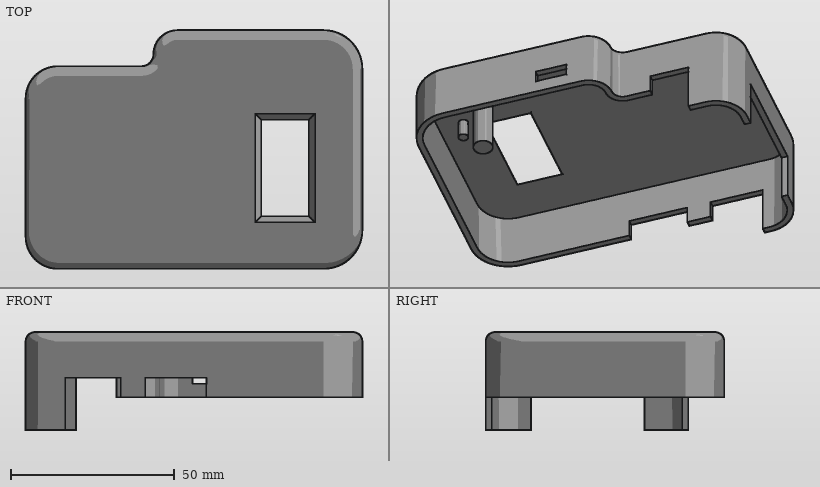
import cadquery as cq
import math

LENGTH = 103.0
WIDTH = 73.0
HEIGHT = 30.0
WALL = 2.0
RIM_FILLET = 3.0

LEFT_RADIUS = 10.0
RIGHT_RADIUS = 11.9
STEP_X = 39.0
STEP_OUTER_RADIUS = 7.5
STEP_INNER_RADIUS = 3.5
SHOULDER_Y = WIDTH - STEP_OUTER_RADIUS - STEP_INNER_RADIUS

SKIRT_Z = HEIGHT - 20.0
NOTCH_Z = HEIGHT - 14.0
CEILING_Z = HEIGHT - WALL

FRONT_LEG_X = 12.2
FRONT_NOTCH_END_X = 29.0
FRONT_PORT = (36.6, 55.3)
BACK_LEG_X = 15.5
BACK_NOTCH_END_X = 27.8
LEFT_NOTCH = (13.9, 48.5)

SLOT_X = 51.1
SLOT_LENGTH = 10.0
SLOT_BOTTOM_Z = HEIGHT - 15.8
SLOT_HEIGHT = 4.0

WINDOW_X = (72.1, 86.5)
WINDOW_Y = (16.2, 45.5)

POST_DIAMETER = 6.0
POST_CENTER = (84.5, 54.4)
POST_LENGTH = CEILING_Z - SKIRT_Z
PIN_DIAMETER = 3.0
PIN_CENTER = (93.0, 48.1)
PIN_LENGTH = 6.0


def box(x_range, y_range, z_range):
    """Box spanning the given (start, end) range along each axis."""
    size = [end - start for start, end in (x_range, y_range, z_range)]
    corner = (x_range[0], y_range[0], z_range[0])
    return cq.Workplane("XY").box(*size, centered=False).translate(corner)


def prism(inset, bottom, top):
    """Prism on the case outline, moved inward by inset."""
    diagonal = math.sqrt(0.5)
    left_r = LEFT_RADIUS - inset
    right_r = RIGHT_RADIUS - inset
    outer_r = STEP_OUTER_RADIUS - inset
    inner_r = STEP_INNER_RADIUS + inset
    left, right = inset, LENGTH - inset
    front, back = inset, WIDTH - inset
    shoulder = SHOULDER_Y - inset
    step_x = STEP_X + inset

    def rounded(sketch, center, radius, middle_signs, end_signs):
        middle = [c + s * radius * diagonal for c, s in zip(center, middle_signs)]
        end = [c + s * radius for c, s in zip(center, end_signs)]
        return sketch.threePointArc(tuple(middle), tuple(end))

    outline = cq.Workplane("XY").workplane(offset=bottom).moveTo(left + left_r, front)
    outline = outline.lineTo(right - right_r, front)
    outline = rounded(outline, (right - right_r, front + right_r), right_r, (1, -1), (1, 0))
    outline = outline.lineTo(right, back - right_r)
    outline = rounded(outline, (right - right_r, back - right_r), right_r, (1, 1), (0, 1))
    outline = outline.lineTo(step_x + outer_r, back)
    outline = rounded(outline, (step_x + outer_r, back - outer_r), outer_r, (-1, 1), (-1, 0))
    outline = rounded(outline, (step_x - inner_r, shoulder + inner_r), inner_r, (1, -1), (0, -1))
    outline = outline.lineTo(left + left_r, shoulder)
    outline = rounded(outline, (left + left_r, shoulder - left_r), left_r, (-1, 1), (-1, 0))
    outline = outline.lineTo(left, front + left_r)
    outline = rounded(outline, (left + left_r, front + left_r), left_r, (-1, -1), (0, -1))
    return outline.close().extrude(top - bottom)


def make_shell():
    """Case with a rounded top rim, hollowed from below."""
    body = prism(0, 0, HEIGHT).faces(">Z").edges().fillet(RIM_FILLET)
    return body.cut(prism(WALL, 0, CEILING_Z))


def wall_openings():
    """Cutters for the skirt edge, the wall notches and the back slot."""
    below = (0, NOTCH_Z)
    front = (0, LEFT_RADIUS)
    middle = WIDTH / 2
    return [
        box((FRONT_LEG_X, LENGTH), (0, middle), (0, SKIRT_Z)),
        box((BACK_LEG_X, LENGTH), (middle, WIDTH), (0, SKIRT_Z)),
        box((FRONT_LEG_X, FRONT_NOTCH_END_X), front, below),
        box(FRONT_PORT, front, below),
        box((BACK_LEG_X, BACK_NOTCH_END_X), (middle, SHOULDER_Y), below),
        box((0, LEFT_RADIUS), LEFT_NOTCH, below),
        box(
            (SLOT_X, SLOT_X + SLOT_LENGTH),
            (WIDTH - 2 * WALL, WIDTH),
            (SLOT_BOTTOM_Z, SLOT_BOTTOM_Z + SLOT_HEIGHT),
        ),
    ]


def make_window():
    """Opening that widens upward at 45 degrees through the top."""
    size_x = WINDOW_X[1] - WINDOW_X[0]
    size_y = WINDOW_Y[1] - WINDOW_Y[0]
    center = (sum(WINDOW_X) / 2, sum(WINDOW_Y) / 2)
    opening = cq.Workplane("XY").workplane(offset=CEILING_Z).center(*center).rect(size_x, size_y)
    opening = opening.workplane(offset=WALL).rect(size_x + 2 * WALL, size_y + 2 * WALL)
    return opening.loft(ruled=True)


def hanging_cylinder(center, diameter, length):
    """Vertical cylinder reaching down from the ceiling."""
    base = cq.Workplane("XY").workplane(offset=CEILING_Z).center(*center)
    return base.circle(diameter / 2).extrude(-length)


result = make_shell()
for opening in wall_openings():
    result = result.cut(opening)
result = result.cut(make_window())
result = result.union(hanging_cylinder(POST_CENTER, POST_DIAMETER, POST_LENGTH))
result = result.union(hanging_cylinder(PIN_CENTER, PIN_DIAMETER, PIN_LENGTH))